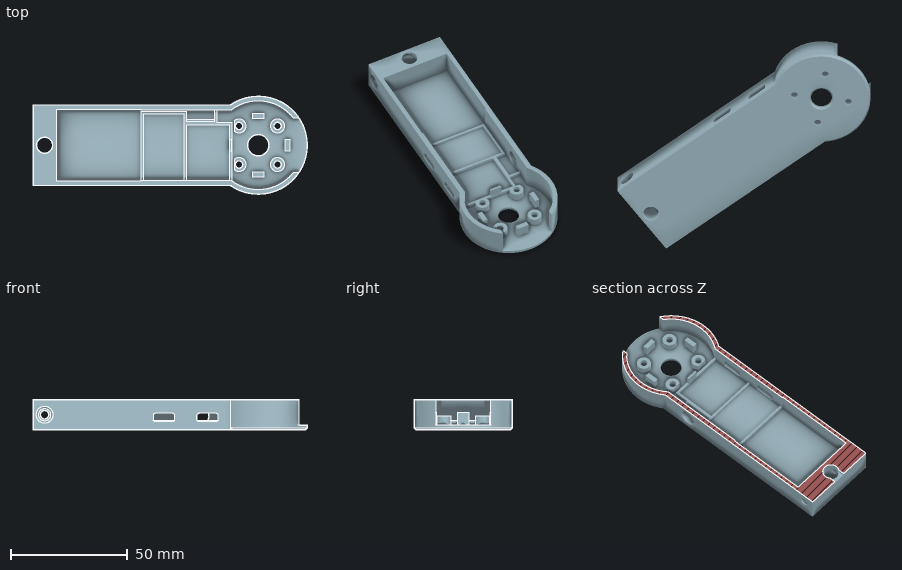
import cadquery as cq
LENGTH = 117.33
HEIGHT = 13.0
HEAD_RADIUS = 21.0
ARM_END_X = HEAD_RADIUS - LENGTH
ARM_WIDTH = 34.5
FLOOR_Z = 2.0
BOTTOM_CHAMFER = 0.75

HEAD_WALL = 2.0
HEAD_INNER_RADIUS = HEAD_RADIUS - HEAD_WALL
CAVITY_WIDTH = 30.0
CAVITY_HALF = CAVITY_WIDTH / 2
BATTERY_X0 = ARM_END_X + 10.0
BATTERY_LENGTH = 36.1
BATTERY_X1 = BATTERY_X0 + BATTERY_LENGTH
BATTERY_WIDTH = 30.7
HEAD_OPENING_WIDTH = 23.4

RIB = 1.05
RIB_TOP_Z = 4.0
CELL_1_LENGTH = 17.35
CELL_1_TOP_Y = 13.3
CELL_1_FLOOR_Z = 2.7
CELL_1_X0 = BATTERY_X1 + RIB
CELL_1_X1 = CELL_1_X0 + CELL_1_LENGTH
CELL_2_LENGTH = 18.4
CELL_2_TOP_Y = 8.65
CELL_2_X0 = CELL_1_X1 + RIB
CELL_2_X1 = CELL_2_X0 + CELL_2_LENGTH
JACK_BAY_LENGTH = 12.0
JACK_X1 = CELL_2_X0 + JACK_BAY_LENGTH
JACK_RIB_TOP_WIDTH = 1.4
JACK_RIB_BASE_WIDTH = 2.45

CENTRE_BORE = 9.0
POST_DIAMETER = 6.0
POST_HOLE = 3.0
POST_OFFSET = 8.25
POST_TOP_Z = 6.0
POST_FLAT_X = CELL_2_X1 + 2 * RIB
TAB_RADIUS = 12.5
TAB_LENGTH = 5.1
TAB_THICKNESS = 2.0
TAB_TOP_Z = 7.5

SLOT_CENTRES_X = (ARM_END_X + 55.95, ARM_END_X + 74.65)
SLOT_LENGTH = 9.1
SLOT_HEIGHT = 3.6
SLOT_CENTRE_Z = 5.35
SLOT_CORNER_RADIUS = 1.0
JACK_HOLE = 7.2
JACK_HOLE_Z = 5.9

END_HOLE_X = ARM_END_X + 4.9
END_HOLE = 6.75
SCREW_HOLE = 3.5
SCREW_HEAD_OUTER = 7.2
SCREW_HEAD_INNER = 5.2
SCREW_HEAD_DEPTH = 1.0
NOTCH_WIDTH = 5.5
NOTCH_TOP_Z = HEIGHT - 1.0
NOTCH_HEIGHT = 2.3


def block(x0, x1, y0, y1, z0, z1):
    """Axis-aligned box between two opposite corners."""
    size = (x1 - x0, y1 - y0, z1 - z0)
    return cq.Workplane("XY").box(*size, centered=False).translate((x0, y0, z0))


def upright_cylinder(x, y, diameter, z0, z1):
    """Vertical cylinder between two heights."""
    return cq.Workplane("XY", origin=(x, y, z0)).circle(diameter / 2).extrude(z1 - z0)


def make_body():
    head = upright_cylinder(0, 0, 2 * HEAD_RADIUS, 0, HEIGHT)
    head = head.faces("<Z").edges().chamfer(BOTTOM_CHAMFER)
    arm = block(ARM_END_X, 0, -ARM_WIDTH / 2, ARM_WIDTH / 2, 0, HEIGHT)
    return arm.union(head)


def make_cavity():
    battery_half = BATTERY_WIDTH / 2
    opening_half = HEAD_OPENING_WIDTH / 2
    battery = block(BATTERY_X0, BATTERY_X1, -battery_half, battery_half, FLOOR_Z, HEIGHT)
    channel = block(BATTERY_X1, 0, -CAVITY_HALF, CAVITY_HALF, FLOOR_Z, HEIGHT)
    head = upright_cylinder(0, 0, 2 * HEAD_INNER_RADIUS, FLOOR_Z, HEIGHT)
    opening = block(0, HEAD_RADIUS, -opening_half, opening_half, FLOOR_Z, HEIGHT)
    return battery.union(channel).union(head).union(opening)


def make_cell_1():
    outer = block(BATTERY_X1, CELL_2_X0, -CAVITY_HALF, CELL_1_TOP_Y + RIB, FLOOR_Z, RIB_TOP_Z)
    inner = block(CELL_1_X0, CELL_1_X1, -CAVITY_HALF, CELL_1_TOP_Y, CELL_1_FLOOR_Z, RIB_TOP_Z)
    return outer.cut(inner)


def make_cell_2():
    outer = block(CELL_1_X1, CELL_2_X1 + RIB, -CAVITY_HALF, CELL_2_TOP_Y + RIB, FLOOR_Z, RIB_TOP_Z)
    inner = block(CELL_2_X0, CELL_2_X1, -CAVITY_HALF, CELL_2_TOP_Y, FLOOR_Z, RIB_TOP_Z)
    return outer.cut(inner)


def make_jack_bay():
    """End rib of the jack bay and the sloped rib that backs the jack."""
    end_rib = block(JACK_X1, JACK_X1 + RIB, CELL_2_TOP_Y, CAVITY_HALF, FLOOR_Z, RIB_TOP_Z)
    sloped_rib = (
        cq.Workplane("YZ", origin=(CELL_2_X0, 0, 0))
        .moveTo(CELL_2_TOP_Y, FLOOR_Z)
        .lineTo(CELL_2_TOP_Y + JACK_RIB_BASE_WIDTH, FLOOR_Z)
        .lineTo(CELL_2_TOP_Y + JACK_RIB_TOP_WIDTH, RIB_TOP_Z)
        .lineTo(CELL_2_TOP_Y, RIB_TOP_Z)
        .close()
        .extrude(JACK_BAY_LENGTH)
    )
    return end_rib.union(sloped_rib)


def make_posts():
    posts = cq.Workplane("XY")
    for x in (-POST_OFFSET, POST_OFFSET):
        for y in (-POST_OFFSET, POST_OFFSET):
            posts = posts.union(upright_cylinder(x, y, POST_DIAMETER, FLOOR_Z, POST_TOP_Z))
    beyond_flat = block(
        POST_FLAT_X - POST_DIAMETER, POST_FLAT_X, -HEAD_RADIUS, HEAD_RADIUS, FLOOR_Z, POST_TOP_Z
    )
    return posts.cut(beyond_flat)


def make_tabs():
    """Four upright tabs around the bore; the arm-side one is trimmed flush with cell 2."""
    tabs = cq.Workplane("XY")
    for angle in (0, 90, 180, 270):
        tab = block(
            TAB_RADIUS - TAB_THICKNESS / 2, TAB_RADIUS + TAB_THICKNESS / 2,
            -TAB_LENGTH / 2, TAB_LENGTH / 2, FLOOR_Z, TAB_TOP_Z,
        )
        tabs = tabs.union(tab.rotate((0, 0, 0), (0, 0, 1), angle))
    inside_cell = block(CELL_2_X0, CELL_2_X1, -TAB_LENGTH, TAB_LENGTH, FLOOR_Z, TAB_TOP_Z)
    return tabs.cut(inside_cell)


def make_head_holes():
    """Centre bore, flared at the underside, and the four post holes."""
    bore = upright_cylinder(0, 0, CENTRE_BORE, 0, HEIGHT)
    flare = (
        cq.Workplane("XY")
        .circle(CENTRE_BORE / 2 + BOTTOM_CHAMFER)
        .workplane(offset=BOTTOM_CHAMFER)
        .circle(CENTRE_BORE / 2)
        .loft()
    )
    holes = bore.union(flare)
    for x in (-POST_OFFSET, POST_OFFSET):
        for y in (-POST_OFFSET, POST_OFFSET):
            holes = holes.union(upright_cylinder(x, y, POST_HOLE, 0, HEIGHT))
    return holes


def make_wall_openings():
    """Two rounded slots in the -Y wall and the round jack hole in the +Y wall."""
    jack_x = (CELL_2_X0 + JACK_X1) / 2
    wall_depth = (ARM_WIDTH - CAVITY_WIDTH) / 2
    openings = (
        cq.Workplane("XZ", origin=(jack_x, ARM_WIDTH / 2, JACK_HOLE_Z))
        .circle(JACK_HOLE / 2)
        .extrude(wall_depth)
    )
    for x in SLOT_CENTRES_X:
        slot = (
            cq.Workplane("XZ", origin=(x, -CAVITY_HALF, SLOT_CENTRE_Z))
            .rect(SLOT_LENGTH, SLOT_HEIGHT)
            .extrude(wall_depth)
            .edges("|Y")
            .fillet(SLOT_CORNER_RADIUS)
        )
        openings = openings.union(slot)
    return openings


def make_end_holes():
    """Vertical hole, countersunk cross hole and a notch from the end face into the vertical hole."""
    half_width = ARM_WIDTH / 2
    vertical = upright_cylinder(END_HOLE_X, 0, END_HOLE, 0, HEIGHT)
    cross = (
        cq.Workplane("XZ", origin=(END_HOLE_X, half_width, HEIGHT / 2))
        .circle(SCREW_HOLE / 2)
        .extrude(ARM_WIDTH)
    )
    countersink = (
        cq.Workplane("XZ", origin=(END_HOLE_X, -half_width + SCREW_HEAD_DEPTH, HEIGHT / 2))
        .circle(SCREW_HEAD_INNER / 2)
        .workplane(offset=SCREW_HEAD_DEPTH)
        .circle(SCREW_HEAD_OUTER / 2)
        .loft()
    )
    notch = block(
        ARM_END_X, END_HOLE_X, -NOTCH_WIDTH / 2, NOTCH_WIDTH / 2,
        NOTCH_TOP_Z - NOTCH_HEIGHT, NOTCH_TOP_Z,
    )
    return vertical.union(cross).union(countersink).union(notch)


result = make_body().cut(make_cavity())
for added in (make_cell_1(), make_cell_2(), make_jack_bay(), make_posts(), make_tabs()):
    result = result.union(added)
for removed in (make_head_holes(), make_wall_openings(), make_end_holes()):
    result = result.cut(removed)